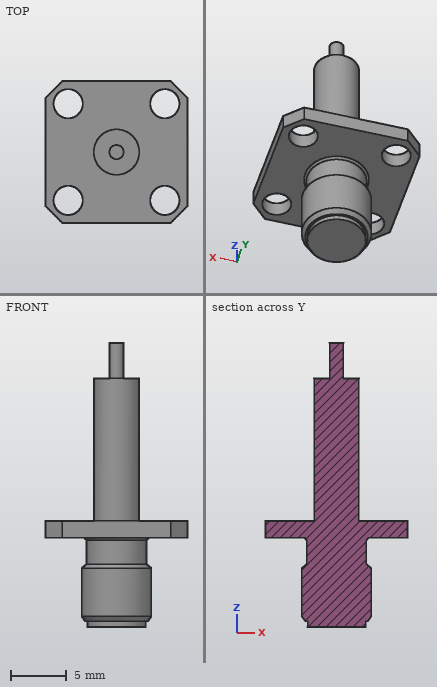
import cadquery as cq

flange_side = 12.7
flange_thickness = 1.52
flange_top = 9.5
flange_bottom = flange_top - flange_thickness
corner_cut = 1.52
hole_diameter = 2.6
hole_spacing = 8.63

overall_height = 25.4
sleeve_diameter = 4.05
sleeve_top = 22.22
pin_diameter = 1.27

nose_radius = 2.62
nose_height = 0.5
barrel_radius = 3.12
barrel_bottom = 0.96
barrel_top = 5.28
barrel_lower_edge_radius = 2.8
neck_radius = 2.7
neck_bottom = 5.64
neck_top = 7.77
collar_radius = 2.9


def make_flange():
    plate = (
        cq.Workplane("XY", origin=(0, 0, flange_bottom))
        .rect(flange_side, flange_side)
        .extrude(flange_thickness)
        .edges("|Z")
        .chamfer(corner_cut)
    )
    return (
        plate.faces(">Z")
        .workplane()
        .rect(hole_spacing, hole_spacing, forConstruction=True)
        .vertices()
        .hole(hole_diameter)
    )


def make_cylinder(diameter, bottom, top):
    return cq.Workplane("XY", origin=(0, 0, bottom)).circle(diameter / 2).extrude(top - bottom)


def make_barrel():
    profile = [
        (0, 0),
        (nose_radius, 0),
        (nose_radius, nose_height),
        (barrel_lower_edge_radius, nose_height),
        (barrel_radius, barrel_bottom),
        (barrel_radius, barrel_top),
        (neck_radius, neck_bottom),
        (neck_radius, neck_top),
        (collar_radius, flange_bottom),
        (0, flange_bottom),
    ]
    return cq.Workplane("XZ").polyline(profile).close().revolve(360, (0, 0, 0), (0, 1, 0))


sleeve = make_cylinder(sleeve_diameter, flange_top, sleeve_top)
pin = make_cylinder(pin_diameter, sleeve_top, overall_height)
result = make_flange().union(make_barrel()).union(sleeve).union(pin)